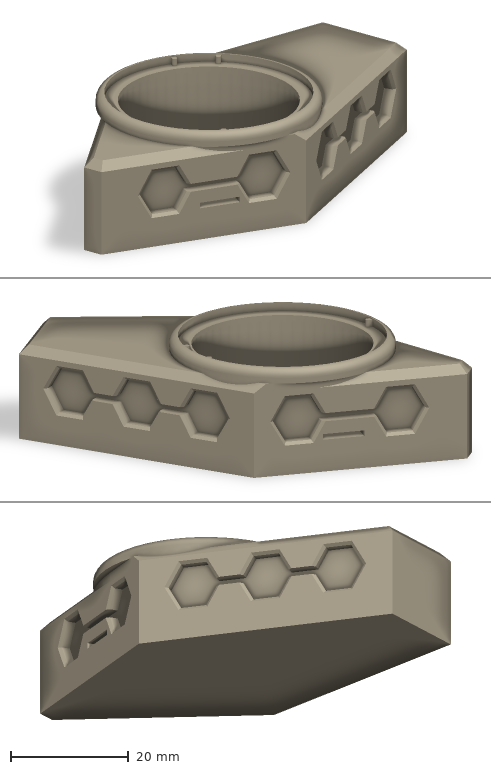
import math

import cadquery as cq

half_width = 20.75
rear_length = 44.0
front_length = 32.76
rear_taper = 15.0
front_taper = 30.0
body_height = 16.6
body_chamfer = 1.5

bore_diameter = 31.0
bore_floor_z = 3.0
rim_diameter = 38.6
rim_top_z = 19.1
rim_rounding = 1.5
seat_depth = 1.5

peg_angles = (121.7, 147.0, 315.5)
peg_width = 0.9
peg_height = 1.3
peg_reach = 1.1
peg_embed = 0.2

shoulder_start_y = -9.6

hex_flats = 7.86
hex_chamfer = 0.5
pocket_depth = 2.0
pocket_z = 9.7
groove_width = 1.45
rear_hex_positions = (9.7, 22.7, 35.7)
front_hex_positions = (8.0, 26.0)

slot_position = 15.9
slot_length = 7.4
slot_height = 1.0
slot_z = 6.2

bore_radius = bore_diameter / 2
rim_radius = rim_diameter / 2
seat_radius = rim_radius - rim_rounding
seat_z = rim_top_z - seat_depth
rear_angle = math.radians(rear_taper)
front_angle = math.radians(front_taper)
rear_half_width = half_width - rear_length * math.tan(rear_angle)
front_half_width = half_width - front_length * math.tan(front_angle)


def mirrored(solid):
    """The solid together with its mirror image in the YZ plane."""
    return solid.union(solid.mirror("YZ"))


def chamfered_block(outline):
    block = cq.Workplane("XY").polyline(outline).close().extrude(body_height)
    return block.faces(">Z").edges().chamfer(body_chamfer)


def body():
    return chamfered_block(
        [
            (half_width, 0),
            (rear_half_width, rear_length),
            (-rear_half_width, rear_length),
            (-half_width, 0),
            (-front_half_width, -front_length),
            (front_half_width, -front_length),
        ]
    )


def shoulder():
    """Material beside the rim, where the front flanks stand upright up to the top of the body."""
    start_x = half_width + shoulder_start_y * math.tan(front_angle)
    inner_distance = half_width * math.cos(front_angle) - body_chamfer
    along = math.sqrt(rim_radius**2 - inner_distance**2)
    end_x = inner_distance * math.cos(front_angle) - along * math.sin(front_angle)
    end_y = -inner_distance * math.sin(front_angle) - along * math.cos(front_angle)
    half_plan = (
        cq.Workplane("XY")
        .moveTo(0, rim_radius)
        .lineTo(half_width, rim_radius)
        .lineTo(half_width, 0)
        .lineTo(start_x, shoulder_start_y)
        .tangentArcPoint((end_x, end_y), relative=False)
        .lineTo(0, end_y)
        .close()
        .extrude(body_height)
    )
    extended_half_width = half_width + rim_radius * math.tan(rear_angle)
    wedge = chamfered_block(
        [
            (extended_half_width, -rim_radius),
            (rear_half_width, rear_length),
            (-rear_half_width, rear_length),
            (-extended_half_width, -rim_radius),
        ]
    )
    boss = cq.Workplane("XY").circle(rim_radius).extrude(body_height)
    return wedge.union(boss).intersect(mirrored(half_plan))


def rim():
    disc = cq.Workplane("XY").workplane(offset=body_height).circle(rim_radius)
    return disc.extrude(rim_top_z - body_height).faces(">Z").edges().fillet(rim_rounding)


def cup_cavity():
    bore = cq.Workplane("XY").workplane(offset=bore_floor_z).circle(bore_radius)
    seat = cq.Workplane("XY").workplane(offset=seat_z).circle(seat_radius)
    return bore.extrude(rim_top_z - bore_floor_z).union(seat.extrude(seat_depth))


def peg(angle):
    """Round-nosed peg on the seat, joined to the rim wall."""
    nose_x = seat_radius - peg_reach + peg_width / 2
    root_x = seat_radius + peg_embed
    seat_plane = cq.Workplane("XY").workplane(offset=seat_z)
    nose = seat_plane.center(nose_x, 0).circle(peg_width / 2).extrude(peg_height)
    root_plane = seat_plane.center((nose_x + root_x) / 2, 0)
    root = root_plane.rect(root_x - nose_x, peg_width).extrude(peg_height)
    return nose.union(root).rotate((0, 0, 0), (0, 0, 1), angle)


def flank_plane(turn, z):
    """Plane on a +X flank facing out, at the widest corner; local X runs rearwards, local Y up."""
    along = (-math.sin(turn), math.cos(turn), 0)
    outward = (math.cos(turn), math.sin(turn), 0)
    return cq.Plane((half_width, 0, z), xDir=along, normal=outward)


def pocket_row(turn, positions):
    """Hexagonal pockets with chamfered mouths, joined by a groove of the same depth."""
    flank = cq.Workplane(flank_plane(turn, pocket_z))
    centres = [(position, 0) for position in positions]
    to_corners = 2 / math.sqrt(3)
    floor_size = hex_flats * to_corners
    mouth_size = (hex_flats + 2 * hex_chamfer) * to_corners
    row = flank.pushPoints(centres).polygon(6, floor_size).extrude(-pocket_depth)
    for centre in centres:
        mouth = flank.center(*centre).polygon(6, mouth_size).workplane(offset=-hex_chamfer)
        row = row.union(mouth.polygon(6, floor_size).loft())
    first, last = min(positions), max(positions)
    groove = flank.center((first + last) / 2, 0).rect(last - first, groove_width)
    return row.union(groove.extrude(-pocket_depth))


def slot():
    """Slot from a front flank into the bore."""
    flank = cq.Workplane(flank_plane(-front_angle, slot_z)).center(-slot_position, 0)
    return flank.rect(slot_length, slot_height).extrude(-bore_radius)


result = body().union(shoulder()).union(rim())
result = result.cut(cup_cavity())
for peg_angle in peg_angles:
    result = result.union(peg(peg_angle))
result = result.cut(mirrored(pocket_row(rear_angle, rear_hex_positions)))
front_offsets = [-position for position in front_hex_positions]
result = result.cut(mirrored(pocket_row(-front_angle, front_offsets)))
result = result.cut(mirrored(slot()))